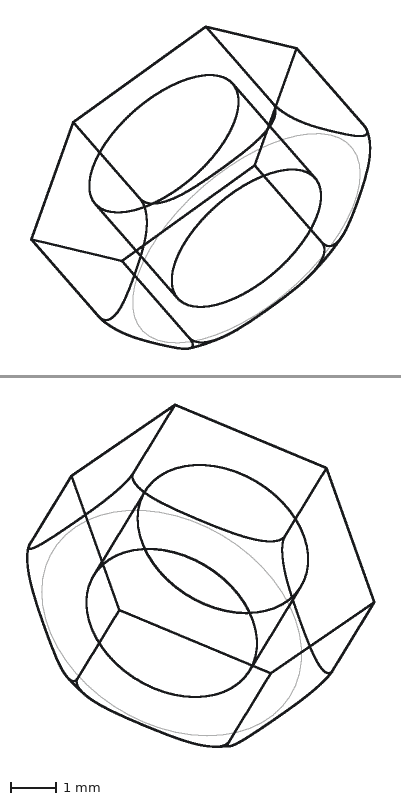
import cadquery as cq
import math

across_flats = 6.35
thickness = 3.17
bore_diameter = 4.04
hex_tilt = 12.0
rounding_radius = 0.59

across_corners = across_flats / math.cos(math.radians(30))
corner_radius = across_corners / 2


def hex_prism():
    """Hexagonal bar along X with a corner at the tilt angle."""
    bar = cq.Workplane("YZ").polygon(6, across_corners).extrude(thickness)
    return bar.rotate((0, 0, 0), (1, 0, 0), hex_tilt)


def turned_blank():
    """Round bar through the hexagon corners, rounded at its far rim."""
    bar = cq.Workplane("YZ").circle(corner_radius).extrude(thickness)
    return bar.faces(">X").edges().fillet(rounding_radius)


def bore():
    """Through hole on the nut axis."""
    return cq.Workplane("YZ").circle(bore_diameter / 2).extrude(thickness)


result = hex_prism().intersect(turned_blank()).cut(bore())